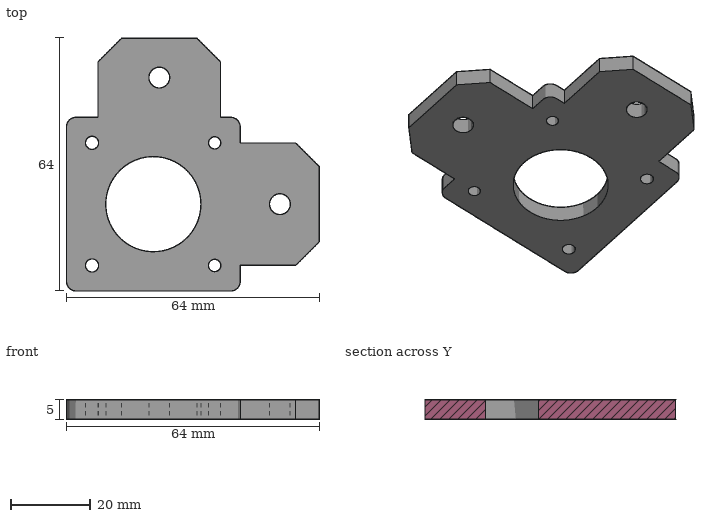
import cadquery as cq

thickness = 5.0
base_side = 44.0
corner_radius = 2.5

tab_length = 20.0
tab_width = 31.0
tab_chamfer = 6.0
top_tab_shift = 1.5

bore_diameter = 24.0
tab_hole_diameter = 5.2
tab_hole_edge_distance = 10.0

screw_spacing = 31.0
screw_diameters = {
    (-1, -1): 3.26,
    (-1, 1): 3.26,
    (1, -1): 3.06,
    (1, 1): 3.03,
}

half_base = base_side / 2
tab_end = half_base + tab_length
tab_hole_offset = tab_end - tab_hole_edge_distance


def base_plate():
    """Square motor plate with rounded corners."""
    plate = cq.Workplane("XY").rect(base_side, base_side).extrude(thickness)
    return plate.edges("|Z").fillet(corner_radius)


def mounting_tab():
    """Tab pointing along +X from the motor axis, with chamfered outer corners."""
    tab = cq.Workplane("XY").center(tab_end / 2, 0).rect(tab_end, tab_width).extrude(thickness)
    return tab.edges("|Z and >X").chamfer(tab_chamfer)


def through_hole(x, y, diameter):
    """Cutting cylinder through the full thickness."""
    return cq.Workplane("XY").center(x, y).circle(diameter / 2).extrude(thickness)


right_tab = mounting_tab()
top_tab = mounting_tab().rotate((0, 0, 0), (0, 0, 1), 90).translate((top_tab_shift, 0, 0))
plate = base_plate().union(right_tab).union(top_tab)

plate = plate.cut(through_hole(0, 0, bore_diameter))

plate = plate.cut(through_hole(tab_hole_offset, 0, tab_hole_diameter))
plate = plate.cut(through_hole(top_tab_shift, tab_hole_offset, tab_hole_diameter))

for (side_x, side_y), diameter in screw_diameters.items():
    screw_x = side_x * screw_spacing / 2
    screw_y = side_y * screw_spacing / 2
    plate = plate.cut(through_hole(screw_x, screw_y, diameter))

result = plate